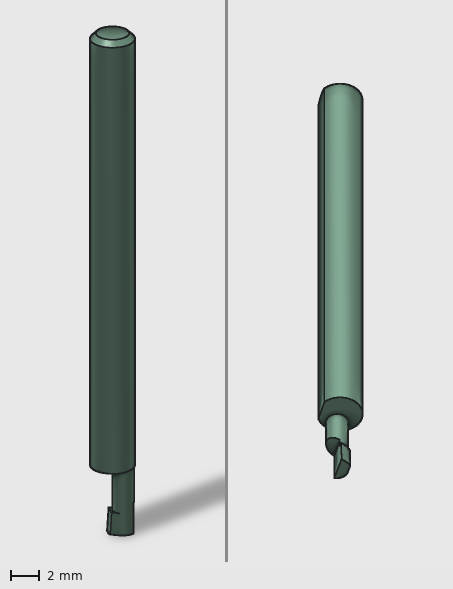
import cadquery as cq

total_length = 38.1
shank_diameter = 3.15
shank_radius = shank_diameter / 2
shank_bottom = 5.1
shank_chamfer = 0.42
shank_width_y = 2.95

neck_diameter = 1.55
neck_radius = neck_diameter / 2
neck_x = shank_radius - neck_radius

relief_start_z = 2.45
relief_end_z = 2.9

head_height = 1.83
tip_x = -0.42
side_clearance = 0.1
side_break = (-0.1, -0.55)
front_break_x = 0.1

end_rise_x = 0.1
end_rise_y = 0.08


def make_shank():
    """Chamfered round shank with one long flat."""
    shank = (
        cq.Workplane("XY").workplane(offset=shank_bottom)
        .circle(shank_radius).extrude(total_length - shank_bottom)
        .faces(">Z").chamfer(shank_chamfer)
    )
    keep = cq.Workplane("XY").box(
        shank_diameter, shank_width_y, total_length, centered=(True, False, False)
    ).translate((0, -shank_radius, 0))
    return shank.intersect(keep)


def make_neck():
    """Eccentric neck, cut back to its front half below a sloped run-out."""
    neck = cq.Workplane("XY").center(neck_x, 0).circle(neck_radius).extrude(shank_bottom)
    half_cut = (
        cq.Workplane("YZ")
        .polyline([(0, 0), (0, relief_start_z), (neck_radius, relief_end_z), (neck_radius, 0)])
        .close().extrude(shank_diameter, both=True)
    )
    return neck.cut(half_cut)


def head_outline(lean):
    """Cutting head section, its cutting side moved inward by lean."""
    return [
        (neck_x, 0),
        (tip_x + lean, 0),
        (side_break[0] + lean, side_break[1]),
        (front_break_x + lean, -neck_radius),
        (neck_x, -neck_radius),
    ]


def make_head():
    """Faceted cutting head whose side leans inward toward the top."""
    return (
        cq.Workplane("XY").polyline(head_outline(0)).close()
        .workplane(offset=head_height).polyline(head_outline(side_clearance)).close()
        .loft(ruled=True, combine=True)
    )


def make_end_cutter():
    """Wedge under the tip, its top face rising toward +X and toward -Y."""
    corners = [
        (tip_x, 0, 0),
        (shank_radius, 0, end_rise_x),
        (shank_radius, -neck_radius, end_rise_x + end_rise_y),
        (tip_x, -neck_radius, end_rise_y),
    ]
    top = [cq.Vector(*corner) for corner in corners]
    base = [cq.Vector(x, y, -head_height) for x, y, _ in corners]
    loops = [top, base]
    for i in range(len(corners)):
        j = (i + 1) % len(corners)
        loops.append([top[i], top[j], base[j], base[i]])
    faces = [cq.Face.makeFromWires(cq.Wire.makePolygon(loop, close=True)) for loop in loops]
    return cq.Workplane(obj=cq.Solid.makeSolid(cq.Shell.makeShell(faces)))


tool_end = make_neck().union(make_head()).cut(make_end_cutter())
result = make_shank().union(tool_end)